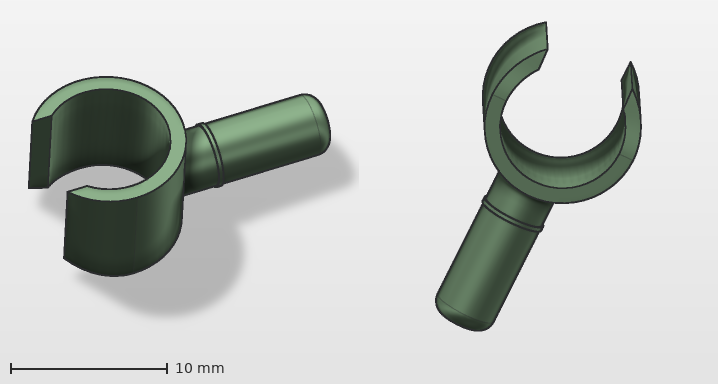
import cadquery as cq
import math

ring_diameter = 10.0
ring_radius = ring_diameter / 2
wall = 1.0
bore_radius = ring_radius - wall
ring_height = 8.0
mouth_width = 6.0

relief_radius = 8.5

pin_radius = 2.0
pin_reach = 15.0
pin_height = 3.0
tip_fillet = 1.0
collar_radius = 2.1
collar_start = 7.0
collar_width = 0.3

tilt_angle = 2
yaw_angle = 0.3


def y_cylinder(radius, start, end):
    """Cylinder on the pin axis between two Y positions."""
    return (
        cq.Workplane("XZ", origin=(0, start, pin_height))
        .circle(radius)
        .extrude(start - end)
    )


def make_pin():
    pin = y_cylinder(pin_radius, 0, pin_reach).faces(">Y").edges().fillet(tip_fillet)
    collar = y_cylinder(collar_radius, collar_start, collar_start + collar_width)
    return pin.union(collar)


def make_mouth():
    """Parallel-sided opening on the -Y side of the ring."""
    return (
        cq.Workplane("XY", origin=(0, -ring_radius, 0))
        .box(mouth_width, ring_radius, ring_height, centered=(True, False, False))
    )


def make_relief():
    """Material below an arc that leaves the base tangentially at the ring centre."""

    def arc_height(y):
        return relief_radius - math.sqrt(relief_radius**2 - y**2)

    relief_end = -ring_radius
    return (
        cq.Workplane("YZ")
        .moveTo(0, 0)
        .threePointArc(
            (relief_end / 2, arc_height(relief_end / 2)),
            (relief_end, arc_height(relief_end)),
        )
        .lineTo(relief_end, 0)
        .close()
        .extrude(ring_radius, both=True)
    )


ring = cq.Workplane("XY").circle(ring_radius).extrude(ring_height)
bore = cq.Workplane("XY").circle(bore_radius).extrude(ring_height)

clip = ring.union(make_pin()).cut(bore).cut(make_mouth()).cut(make_relief())
tilted = clip.rotate((0, 0, 0), (1, 0, 0), -tilt_angle)
result = tilted.rotate((0, 0, 0), (0, 0, 1), yaw_angle)